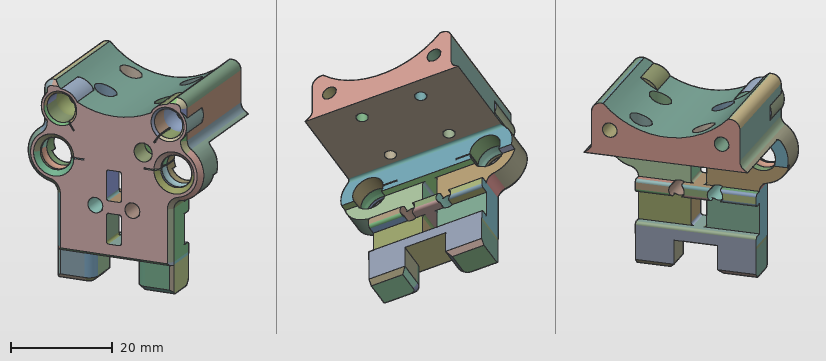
import math

import cadquery as cq


block_depth = 26.5
top_z = 41.1
front_chamfer = 1.0

plate_half_width = 12.55
plate_bottom_z = 6.1
plate_bottom_chamfer = 0.5
plate_taper_height = 0.65
lobe_x = 13.0
lobe_z = 25.7
lobe_radius = 6.0
neck_radius = 2.0
block_half_width = 15.4
block_top_radius = 2.0

block_bottom_z = 30.2
lobe_depth = 7.5
plate_depth = 6.0
rib_depth = 8.0
rib_round = 0.6

window_width = 3.2
window_height = 6.4
window_pitch = 9.0
window_corner = 0.5
window_mid_z = 16.57
upper_window_z = window_mid_z + window_pitch / 2
lower_window_z = window_mid_z - window_pitch / 2

saddle_radius = 18.0
saddle_bottom_z = 35.6

ear_x = 11.6
ear_z = 35.6
ear_radius = 4.1
ear_length = rib_depth
socket_radius = 3.05
socket_straight_depth = 5.0
socket_chamfer = 0.5
ear_hole_diameter = 3.0

rod_hole_radius = 3.35
rod_bulge = 0.3
rod_bulge_start_y = 1.6
rod_bulge_length = 2.4

slit_width = 0.25
ear_slit_length = 5.1
ear_slit_angle = -125.0
rod_slit_length = 6.45

plate_hole_x = 4.0
plate_hole_diameter = 3.2
blind_hole_x = 6.33
blind_hole_z = 29.0
blind_hole_diameter = 3.9
blind_hole_depth = 5.0
saddle_hole_x = 6.5
saddle_hole_front_y = 10.35
saddle_hole_pitch_y = 12.0
saddle_hole_diameter = 2.4
saddle_counterbore_diameter = 4.4
saddle_counterbore_floor_z = 33.9

foot_inner_x = 4.5
foot_half_width = 12.5
foot_front_y = 0.5
foot_round = 2.0
foot_chamfer = 1.0
foot_side_chamfer_x = 0.7
foot_side_chamfer_y = 0.5


def front_plane(y):
    """Sketch plane facing the front: local x = X, local y = Z, extruding toward -Y."""
    return cq.Workplane("XZ", origin=(0, y, 0))


def cylinder_y(x, z, radius, start, end):
    """Cylinder along Y between two depths."""
    return front_plane(end).center(x, z).circle(radius).extrude(end - start)


def both_sides(shape):
    """The shape joined with its mirror image across X = 0."""
    return shape.union(shape.mirror("YZ"))


def neck_arc(side_x, direction):
    """Concave arc between a vertical side and the lobe, above (+1) or below (-1) the lobe centre.

    Returns the end on the side, the mid point and the end on the lobe.
    """
    centre_x = side_x + neck_radius
    reach = lobe_radius + neck_radius
    centre_z = lobe_z + direction * math.sqrt(reach**2 - (centre_x - lobe_x) ** 2)
    lobe_angle = math.atan2(lobe_z - centre_z, lobe_x - centre_x)
    side_angle = -direction * math.pi
    mid_angle = (lobe_angle + side_angle) / 2

    def on_arc(angle):
        return (centre_x + neck_radius * math.cos(angle), centre_z + neck_radius * math.sin(angle))

    return on_arc(side_angle), on_arc(mid_angle), on_arc(lobe_angle)


def make_outline():
    """Front outline of plate, lobes and block, run over the full depth.

    The plate sides taper in to the foot width at the bottom.
    """
    low_side, low_mid, low_lobe = neck_arc(plate_half_width, -1)
    high_side, high_mid, high_lobe = neck_arc(block_half_width, 1)
    round_centre = (block_half_width - block_top_radius, top_z - block_top_radius)
    round_mid = block_top_radius * math.sqrt(0.5)
    half = (
        front_plane(block_depth)
        .moveTo(0, plate_bottom_z)
        .lineTo(foot_half_width, plate_bottom_z)
        .lineTo(plate_half_width, plate_bottom_z + plate_taper_height)
        .lineTo(*low_side)
        .threePointArc(low_mid, low_lobe)
        .threePointArc((lobe_x + lobe_radius, lobe_z), high_lobe)
        .threePointArc(high_mid, high_side)
        .lineTo(block_half_width, round_centre[1])
        .threePointArc(
            (round_centre[0] + round_mid, round_centre[1] + round_mid),
            (round_centre[0], top_z),
        )
        .lineTo(0, top_z)
        .close()
        .extrude(block_depth)
    )
    return both_sides(half).clean()


def make_side_profile():
    """Stepped side profile in the YZ plane, run over the full width."""
    half_height = window_height / 2
    rib_top = upper_window_z - half_height
    rib_bottom = lower_window_z + half_height
    foot_pad_top = lower_window_z - half_height
    half_width = lobe_x + lobe_radius
    profile = (
        cq.Workplane("YZ", origin=(-half_width, 0, 0))
        .moveTo(0, plate_bottom_z)
        .lineTo(0, top_z)
        .lineTo(block_depth, top_z)
        .lineTo(block_depth, block_bottom_z)
        .lineTo(lobe_depth, block_bottom_z)
        .lineTo(lobe_depth, upper_window_z + half_height)
        .lineTo(plate_depth, upper_window_z + half_height)
        .lineTo(plate_depth, rib_top)
        .lineTo(rib_depth, rib_top)
        .lineTo(rib_depth, rib_bottom)
        .lineTo(plate_depth, rib_bottom)
        .lineTo(plate_depth, foot_pad_top)
        .lineTo(rib_depth, foot_pad_top)
        .lineTo(rib_depth, plate_bottom_z)
        .close()
        .extrude(2 * half_width)
    )
    rounded_corners = [
        (lobe_depth, block_bottom_z),
        (rib_depth, rib_top),
        (rib_depth, rib_bottom),
        (rib_depth, foot_pad_top),
    ]
    for y, z in rounded_corners:
        corner = cq.selectors.NearestToPointSelector((0, y, z))
        profile = profile.edges("|X").edges(corner).fillet(rib_round)
    return profile


def make_body():
    """Chamfered plate and block with the saddle cut into the top."""
    outline = make_outline()
    bottom_edge = outline.faces("<Y").edges("<Z")
    outline = bottom_edge.chamfer(plate_bottom_chamfer)
    outline = outline.faces("<Y").edges("not <Z").chamfer(front_chamfer)
    saddle = cylinder_y(0, saddle_bottom_z + saddle_radius, saddle_radius, 0, block_depth)
    return outline.intersect(make_side_profile()).cut(saddle)


def make_foot():
    """Right-hand foot: rounded inner front corner, chamfered sole and outer front corner."""
    foot = cq.Workplane("XY").box(
        foot_half_width - foot_inner_x,
        rib_depth - foot_front_y,
        plate_bottom_z,
        centered=False,
    ).translate((foot_inner_x, foot_front_y, 0))
    foot = foot.edges("|Z and <X and <Y").fillet(foot_round)
    sole_edges = foot.faces("<Z").edges("not >X")
    foot = sole_edges.chamfer(foot_chamfer)
    corner_cut = (
        cq.Workplane("XY")
        .moveTo(foot_half_width, foot_front_y)
        .lineTo(foot_half_width - foot_side_chamfer_x, foot_front_y)
        .lineTo(foot_half_width, foot_front_y + foot_side_chamfer_y)
        .close()
        .extrude(plate_bottom_z)
    )
    return foot.cut(corner_cut)


def slit(x, z, length, angle, depth):
    """Thin slot cut from the front, running from (x, z) at an angle from +X towards +Z."""
    blade = front_plane(depth).center(x + length / 2, z).rect(length, slit_width).extrude(depth)
    return blade.rotate((x, 0, z), (x, 1, z), -angle)


def ear_socket():
    """Round-bottomed screw socket with its through hole and slit."""
    mouth_radius = socket_radius + socket_chamfer
    bowl_end = (
        socket_radius * math.sqrt(0.5),
        socket_straight_depth + socket_radius * math.sqrt(0.5),
    )
    socket = (
        cq.Workplane("XY")
        .lineTo(mouth_radius, 0)
        .lineTo(socket_radius, socket_chamfer)
        .lineTo(socket_radius, socket_straight_depth)
        .threePointArc(bowl_end, (0, socket_straight_depth + socket_radius))
        .close()
        .revolve(360, (0, 0, 0), (0, 1, 0))
        .translate((ear_x, 0, ear_z))
    )
    hole = cylinder_y(ear_x, ear_z, ear_hole_diameter / 2, 0, block_depth)
    relief = slit(ear_x, ear_z, ear_slit_length, ear_slit_angle, socket_straight_depth)
    return socket.union(hole).union(relief)


def rod_hole():
    """Rod hole: chamfered at the front, bulging part-way through the plate, with its slit."""
    bulge_end_y = rod_bulge_start_y + rod_bulge_length
    bulge_middle_y = rod_bulge_start_y + rod_bulge_length / 2
    mouth_radius = rod_hole_radius + front_chamfer
    hole = (
        cq.Workplane("XY")
        .lineTo(mouth_radius, 0)
        .lineTo(rod_hole_radius, front_chamfer)
        .lineTo(rod_hole_radius, rod_bulge_start_y)
        .threePointArc(
            (rod_hole_radius + rod_bulge, bulge_middle_y),
            (rod_hole_radius, bulge_end_y),
        )
        .lineTo(rod_hole_radius, lobe_depth)
        .lineTo(0, lobe_depth)
        .close()
        .revolve(360, (0, 0, 0), (0, 1, 0))
        .translate((lobe_x, 0, lobe_z))
    )
    return hole.union(slit(lobe_x, lobe_z, rod_slit_length, 180, lobe_depth))


def windows():
    """Two upright windows on the centre line."""
    return (
        front_plane(rib_depth)
        .pushPoints([(0, upper_window_z), (0, lower_window_z)])
        .rect(window_width, window_height)
        .extrude(rib_depth)
        .edges("|Y")
        .fillet(window_corner)
    )


def saddle_holes():
    """Counterbored holes down through the right-hand half of the saddle."""
    points = [
        (saddle_hole_x, saddle_hole_front_y),
        (saddle_hole_x, saddle_hole_front_y + saddle_hole_pitch_y),
    ]
    through = (
        cq.Workplane("XY", origin=(0, 0, block_bottom_z))
        .pushPoints(points)
        .circle(saddle_hole_diameter / 2)
        .extrude(top_z - block_bottom_z)
    )
    counterbores = (
        cq.Workplane("XY", origin=(0, 0, saddle_counterbore_floor_z))
        .pushPoints(points)
        .circle(saddle_counterbore_diameter / 2)
        .extrude(top_z - saddle_counterbore_floor_z)
    )
    return through.union(counterbores)


ear_boss = cylinder_y(ear_x, ear_z, ear_radius, 0, ear_length)
plate_hole = cylinder_y(plate_hole_x, window_mid_z, plate_hole_diameter / 2, 0, rib_depth)
blind_hole = cylinder_y(blind_hole_x, blind_hole_z, blind_hole_diameter / 2, 0, blind_hole_depth)

result = make_body().union(both_sides(ear_boss)).union(both_sides(make_foot()))
for cutter in (ear_socket(), rod_hole(), plate_hole, saddle_holes()):
    result = result.cut(cutter).cut(cutter.mirror("YZ"))
result = result.cut(windows()).cut(blind_hole)